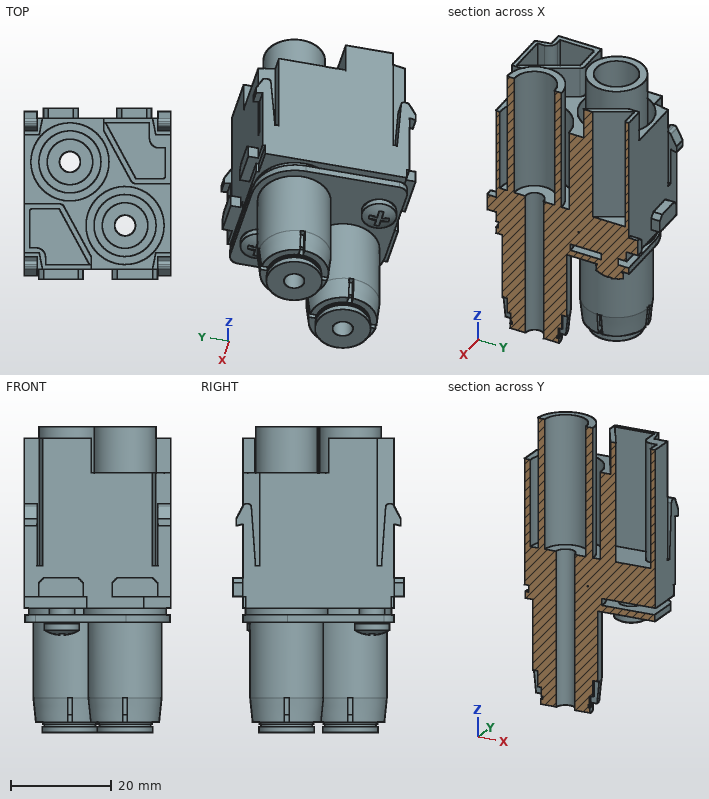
import cadquery as cq
import math


width = 29.35
depth = 30.2
deck_z = 27.0
half_w = width / 2
half_d = depth / 2

pole_x = 5.5
pole_y = 6.35
poles = [(pole_x, -pole_y), (-pole_x, pole_y)]
sleeve_top = 36.2
sleeve_d = 12.4
socket_d = 9.1
through_d = 4.1
well_d = 15.6
cavity_floor = 8.45

neck_d = 16.5
barrel_d = 14.7
barrel_bottom = -17.9
taper_bottom = -22.8
taper_end_d = 13.7
collar_d = 10.9
collar_bottom = -23.2
groove_d = 10.3
rim_top = -23.7
rim_d = 11.1
base_z = -24.9
grip_slot_width = 0.94
grip_slot_floor_d = 12.4
grip_slot_step = -21.3
grip_slots = 4

flange_top = -1.35
flange_bottom = -2.85
flange_w = 29.05
flange_d = depth
flange_pole_radius = 8.9
flange_small_radius = 2.1

screw_x = 7.1
screw_y = 10.7
screw_shank_d = 5.1
screw_head_d = 7.0
screw_head_chamfer = 0.3
screw_head_bottom = -4.4
screw_dome_height = 1.05
screw_recess_width = 0.94
screw_recess_depth = 0.35

chamber_top = 33.9
chamber_inner_y = 2.0
chamber_inner_x = 1.2
chamber_slant_x = 7.0
chamber_slant_y = 12.7
chamber_wall = 1.13
chamber_end_wall = 0.9
chamber_top_wall = 1.0
chamber_slant_wall = 1.06
chamber_corner_radius = 1.2
cavity_jog_width = 4.3
front_jog_depth = 4.3
back_jog_depth = 5.95
cavity_jog_radius = 1.9
cavity_corner_radius = 0.5

notch_depth = 3.35
notch_inner_width = 3.03
notch_outer_width = 3.7
clip_width = 2.63
clip_top = 20.8
clip_tip_thickness = 1.65
clip_root_thickness = 2.52
clip_round = 0.7
hook_reach = 1.33
hook_top = 20.4
hook_tip_top = 17.85
hook_tip_bottom = 16.4
hook_root_bottom = 16.7

pad_reach = 2.0
pad_bottom = 2.25
pad_top = 6.0
pad_chamfer = 1.0
front_pads = [(-11.75, -2.85), (2.9, 12.0)]
back_pads = [(-10.8, -3.8), (3.8, 10.8)]

step_depth = 0.55
step_long_end = -2.15
step_short_start = 9.2


def block(x0, x1, y0, y1, z0, z1):
    """Box between opposite corners."""
    return cq.Workplane("XY").box(x1 - x0, y1 - y0, z1 - z0, centered=False).translate((x0, y0, z0))


def cylinders(points, diameter, z0, z1):
    """Equal vertical cylinders at the given points."""
    return cq.Workplane("XY").workplane(offset=z0).pushPoints(points).circle(diameter / 2).extrude(z1 - z0)


def half_turn(shape):
    """Copy turned 180 degrees about the Z axis."""
    return shape.rotate((0, 0, 0), (0, 0, 1), 180)


def make_chamber_wall():
    """Solid outline of the -X, -Y chamber standing on the deck."""
    outline = [
        (-half_w, -half_d),
        (-chamber_inner_x, -half_d),
        (-chamber_inner_x, -chamber_slant_y),
        (-chamber_slant_x, -chamber_inner_y),
        (-half_w, -chamber_inner_y),
    ]
    solid = cq.Workplane("XY").workplane(offset=cavity_floor).polyline(outline).close()
    solid = solid.extrude(chamber_top - cavity_floor)
    slant_corner = cq.selectors.NearestToPointSelector(
        (-chamber_slant_x, -chamber_inner_y, (cavity_floor + chamber_top) / 2))
    return solid.edges("|Z").edges(slant_corner).fillet(chamber_corner_radius)


def make_chamber_cavity(jog_depth):
    """Hollow of a chamber in the -X, -Y corner, stepped around the clip notch."""
    left = -half_w + chamber_wall
    bottom = -half_d + chamber_end_wall
    top = -chamber_inner_y - chamber_top_wall
    jog_x = -half_w + cavity_jog_width
    jog_y = -half_d + jog_depth

    run = (chamber_slant_x - chamber_inner_x) / (chamber_slant_y - chamber_inner_y)
    wall_along_x = chamber_slant_wall * math.hypot(1, run)

    def slant_at(y):
        return -chamber_slant_x - wall_along_x - run * (y + chamber_inner_y)

    outline = [
        (jog_x, bottom),
        (slant_at(bottom), bottom),
        (slant_at(top), top),
        (left, top),
        (left, jog_y),
        (jog_x, jog_y),
    ]
    solid = cq.Workplane("XY").workplane(offset=cavity_floor).polyline(outline).close()
    solid = solid.extrude(chamber_top - cavity_floor)
    mid_z = (cavity_floor + chamber_top) / 2
    jog_corner = cq.selectors.NearestToPointSelector((jog_x, jog_y, mid_z))
    solid = solid.edges("|Z").edges(jog_corner).fillet(cavity_jog_radius)
    outer_corner = cq.selectors.NearestToPointSelector((left, top, mid_z))
    return solid.edges("|Z").edges(outer_corner).fillet(cavity_corner_radius)


def at_four_corners(shape):
    """The -X, -Y corner shape mirrored into all four corners."""
    pair = shape.union(shape.mirror("YZ"))
    return pair.union(pair.mirror("XZ"))


def make_notch():
    """Corner opening behind a clip, with one slanted side wall."""
    outline = [
        (-half_w, -half_d),
        (-half_w + notch_outer_width, -half_d),
        (-half_w + notch_inner_width, -half_d + notch_depth),
        (-half_w, -half_d + notch_depth),
    ]
    return cq.Workplane("XY").workplane(offset=cavity_floor).polyline(outline).close().extrude(
        chamber_top - cavity_floor)


def make_clip():
    """Tapered spring arm with a barbed hook."""
    tip = -half_d - hook_reach
    profile = [
        (-half_d, cavity_floor),
        (-half_d + clip_root_thickness, cavity_floor),
        (-half_d + clip_tip_thickness, clip_top),
        (-half_d + hook_reach * (clip_top - hook_top) / (hook_top - hook_tip_top), clip_top),
        (tip, hook_tip_top),
        (tip, hook_tip_bottom),
        (-half_d, hook_root_bottom),
    ]
    arm = cq.Workplane("YZ").workplane(offset=-half_w).polyline(profile).close().extrude(clip_width)
    return arm.faces(">Z").edges("|X").fillet(clip_round)


def make_pad(x0, x1, y0, y1):
    """Guide pad with both upper corners chamfered."""
    pad = block(x0, x1, y0, y1, pad_bottom, pad_top)
    return pad.faces(">Z").edges("|Y").chamfer(pad_chamfer)


def make_housing():
    housing = block(-half_w, half_w, -half_d, half_d, 0, deck_z)
    wall = make_chamber_wall()
    housing = housing.union(wall).union(half_turn(wall))
    housing = housing.cut(make_chamber_cavity(front_jog_depth))
    housing = housing.cut(half_turn(make_chamber_cavity(back_jog_depth)))

    housing = housing.cut(at_four_corners(make_notch()))
    housing = housing.union(at_four_corners(make_clip()))

    steps = block(-half_w, step_long_end, -half_d, -half_d + step_depth, 0, pad_bottom)
    steps = steps.union(block(step_short_start, half_w, -half_d, -half_d + step_depth, 0, pad_bottom))
    housing = housing.cut(steps).cut(half_turn(steps))

    for x0, x1 in front_pads:
        housing = housing.union(make_pad(x0, x1, -half_d - pad_reach, -half_d))
    for x0, x1 in back_pads:
        housing = housing.union(make_pad(x0, x1, half_d, half_d + pad_reach))

    housing = housing.cut(cylinders(poles, well_d, cavity_floor, deck_z))
    return housing.union(cylinders(poles, sleeve_d, cavity_floor, sleeve_top))


def make_flange():
    """Plate with two corners rounded about the poles and two small ones."""
    plate = block(-flange_w / 2, flange_w / 2, -flange_d / 2, flange_d / 2, flange_bottom, flange_top)
    mid_z = (flange_bottom + flange_top) / 2
    for side in (-1, 1):
        pole_corner = cq.selectors.NearestToPointSelector((side * flange_w / 2, -side * flange_d / 2, mid_z))
        plate = plate.edges("|Z").edges(pole_corner).fillet(flange_pole_radius)
        small_corner = cq.selectors.NearestToPointSelector((side * flange_w / 2, side * flange_d / 2, mid_z))
        plate = plate.edges("|Z").edges(small_corner).fillet(flange_small_radius)
    return plate


def make_barrel():
    """Turned lower end of one pole, on the Z axis, with grip slots."""
    profile = [
        (0, 0),
        (neck_d / 2, 0),
        (neck_d / 2, flange_top),
        (barrel_d / 2, flange_top),
        (barrel_d / 2, barrel_bottom),
        (taper_end_d / 2, taper_bottom),
        (collar_d / 2, taper_bottom),
        (collar_d / 2, collar_bottom),
        (groove_d / 2, collar_bottom),
        (groove_d / 2, rim_top),
        (rim_d / 2, rim_top),
        (rim_d / 2, base_z),
        (0, base_z),
    ]
    barrel = cq.Workplane("XZ").polyline(profile).close().revolve(360, (0, 0), (0, 1))
    slot_profile = [
        (barrel_d / 2, barrel_bottom),
        (grip_slot_floor_d / 2, barrel_bottom),
        (grip_slot_floor_d / 2, grip_slot_step),
        (collar_d / 2, grip_slot_step),
        (collar_d / 2, taper_bottom),
        (barrel_d / 2, taper_bottom),
    ]
    slot = cq.Workplane("XZ").polyline(slot_profile).close().extrude(grip_slot_width / 2, both=True)
    for i in range(grip_slots):
        barrel = barrel.cut(slot.rotate((0, 0, 0), (0, 0, 1), i * 360 / grip_slots))
    return barrel


def make_screw():
    """Domed screw with a cross recess, at the -X, -Y corner."""
    head_r = screw_head_d / 2
    dome_z = screw_head_bottom - screw_dome_height
    dome_radius = (head_r ** 2 + screw_dome_height ** 2) / (2 * screw_dome_height)
    mid_r = head_r / 2
    mid_z = dome_z + dome_radius - math.sqrt(dome_radius ** 2 - mid_r ** 2)
    screw = (
        cq.Workplane("XZ")
        .moveTo(0, 0)
        .lineTo(screw_shank_d / 2, 0)
        .lineTo(screw_shank_d / 2, flange_bottom)
        .lineTo(head_r - screw_head_chamfer, flange_bottom)
        .lineTo(head_r, flange_bottom - screw_head_chamfer)
        .lineTo(head_r, screw_head_bottom)
        .threePointArc((mid_r, mid_z), (0, dome_z))
        .close()
        .revolve(360, (0, 0), (0, 1))
    )
    half_slot = screw_recess_width / 2
    recess_top = dome_z + screw_recess_depth
    screw = screw.cut(block(-half_slot, half_slot, -head_r, head_r, dome_z, recess_top))
    screw = screw.cut(block(-head_r, head_r, -half_slot, half_slot, dome_z, recess_top))
    return screw.translate((-screw_x, -screw_y, 0))


result = make_housing().union(make_flange())

barrel = make_barrel()
for x, y in poles:
    result = result.union(barrel.translate((x, y, 0)))

screw = make_screw()
result = result.union(screw).union(half_turn(screw))

result = result.cut(cylinders(poles, socket_d, cavity_floor, sleeve_top))
result = result.cut(cylinders(poles, through_d, base_z, sleeve_top))